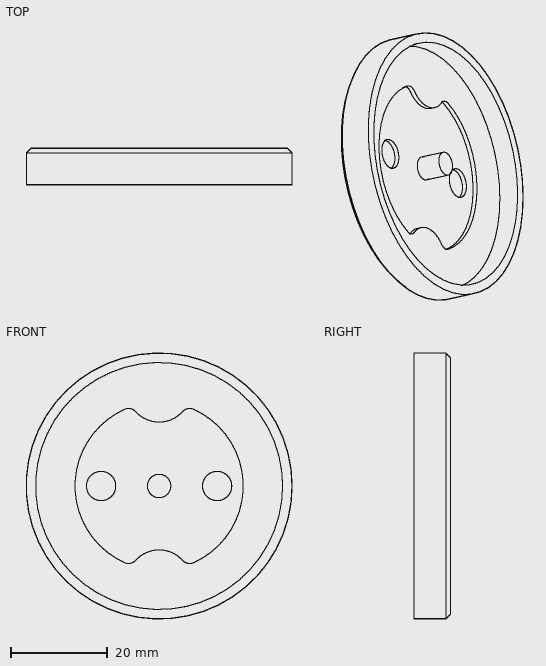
import cadquery as cq

outer_diameter = 55.0
height = 7.6
back_chamfer = 1.0
cavity_diameter = 51.05
cavity_depth = 4.5

recess_radius = 17.4
recess_depth = 1.0
notch_radius = 6.5
notch_reach = 13.2
recess_corner_radius = 2.0

pin_diameter = 4.85
pin_length = 5.5
blind_hole_diameter = 6.05
blind_hole_offset = 12.0
blind_hole_depth = 1.0

floor_level = height - cavity_depth
recess_level = floor_level - recess_depth


def plane_at(level):
    """Workplane at a height above the back face, with its normal toward -Y."""
    return cq.Workplane("XZ", origin=(0, -level, 0))


def make_shell():
    body = plane_at(0).circle(outer_diameter / 2).extrude(height)
    body = body.faces(">Y").chamfer(back_chamfer)
    cavity = plane_at(floor_level).circle(cavity_diameter / 2).extrude(cavity_depth)
    return body.cut(cavity)


def make_recess():
    notch_center = notch_reach + notch_radius
    recess = plane_at(recess_level).circle(recess_radius).extrude(recess_depth)
    notches = (
        plane_at(recess_level)
        .pushPoints([(0, notch_center), (0, -notch_center)])
        .circle(notch_radius)
        .extrude(recess_depth)
    )
    corners = cq.selectors.BoxSelector(
        (-recess_radius / 2, -height, -recess_radius),
        (recess_radius / 2, 0, recess_radius),
    )
    return recess.cut(notches).edges("|Y").edges(corners).fillet(recess_corner_radius)


def make_blind_holes():
    return (
        plane_at(recess_level - blind_hole_depth)
        .pushPoints([(-blind_hole_offset, 0), (blind_hole_offset, 0)])
        .circle(blind_hole_diameter / 2)
        .extrude(blind_hole_depth)
    )


def make_pin():
    return plane_at(recess_level).circle(pin_diameter / 2).extrude(pin_length)


result = make_shell().cut(make_recess()).cut(make_blind_holes()).union(make_pin())